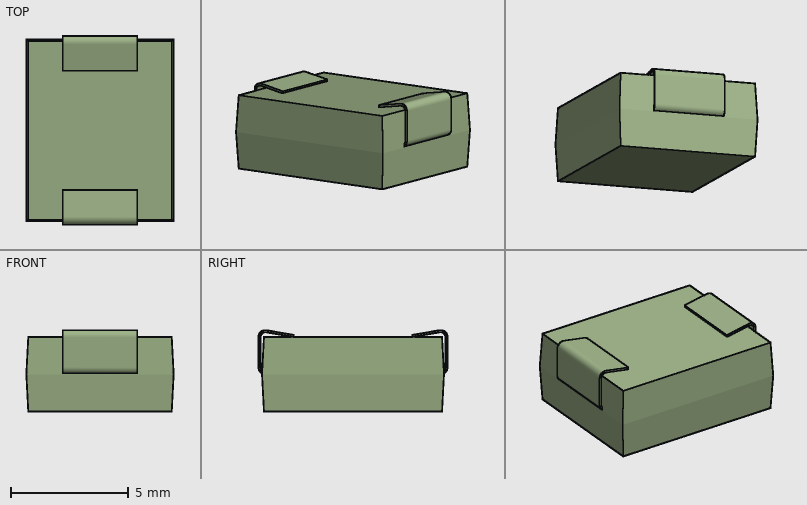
import cadquery as cq
import math

body_width = 6.3
body_length = 7.78
body_height = 3.2
draft_angle = 3.0
parting_height = body_height / 2

overall_length = 8.08
overall_height = 3.49
lead_width = 3.2
lead_thickness = 0.1
bend_radius = 0.3
tip_slope = 10.0
tip_reach = 1.5
root_depth = 0.24


def body_half(direction):
    """Half of the body, extruded up (1) or down (-1) from the parting plane."""
    return (
        cq.Workplane("XY", origin=(0, 0, parting_height))
        .rect(body_width, body_length)
        .extrude(direction * parting_height, taper=draft_angle)
    )


def lead():
    """Terminal on the +Y end, as a YZ outline extruded along X."""
    slope = math.radians(tip_slope)
    inner_radius = bend_radius - lead_thickness
    outer_face = overall_length / 2
    inner_face = outer_face - lead_thickness
    bend_y = outer_face - bend_radius
    upper_z = overall_height - bend_radius
    lower_z = parting_height + bend_radius
    root_y = bend_y - root_depth

    def polar(radius, center_z, angle):
        return bend_y + radius * math.cos(angle), center_z + radius * math.sin(angle)

    bend_end = math.pi / 2 + slope
    outer_end = polar(bend_radius, upper_z, bend_end)
    inner_end = polar(inner_radius, upper_z, bend_end)
    leg_length = (outer_end[0] - (outer_face - tip_reach)) / math.cos(slope)
    leg_run = leg_length * math.cos(slope)
    leg_drop = leg_length * math.sin(slope)

    outline = (
        cq.Workplane("YZ")
        .moveTo(root_y, parting_height)
        .lineTo(bend_y, parting_height)
        .threePointArc(polar(bend_radius, lower_z, -math.pi / 4), (outer_face, lower_z))
        .lineTo(outer_face, upper_z)
        .threePointArc(polar(bend_radius, upper_z, bend_end / 2), outer_end)
        .lineTo(outer_end[0] - leg_run, outer_end[1] - leg_drop)
        .lineTo(inner_end[0] - leg_run, inner_end[1] - leg_drop)
        .lineTo(*inner_end)
        .threePointArc(polar(inner_radius, upper_z, bend_end / 2), (inner_face, upper_z))
        .lineTo(inner_face, lower_z)
        .threePointArc(
            polar(inner_radius, lower_z, -math.pi / 4),
            (bend_y, parting_height + lead_thickness),
        )
        .lineTo(root_y, parting_height + lead_thickness)
        .close()
    )
    return outline.extrude(lead_width / 2, both=True)


body = body_half(1).union(body_half(-1))
end_lead = lead()
result = body.union(end_lead).union(end_lead.mirror("XZ"))